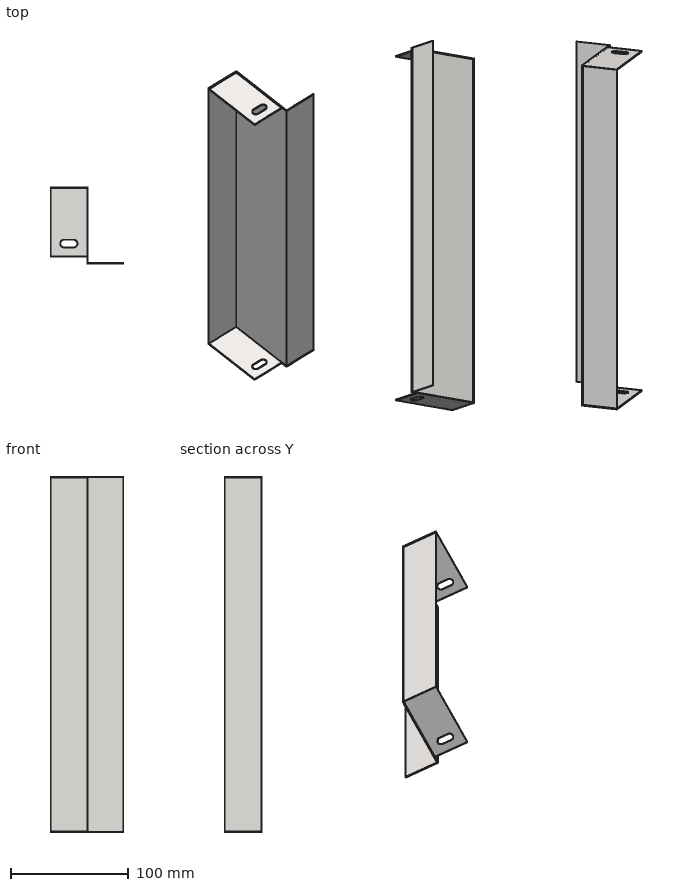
import cadquery as cq

width = 61.8
depth = 65.0
height = 301.5
sheet = 0.8

web_left = width / 2
rear_flange_width = web_left + sheet
front_flange_width = width - web_left

tab_setback = 6.0
tab_length = depth - tab_setback

slot_length = 14.5
slot_width = 6.3
slot_center_x = web_left / 2
slot_center_y = 17.2


def plate(x, y, z, size_x, size_y, size_z):
    """Flat plate with its lowest corner at (x, y, z)."""
    return cq.Workplane("XY").box(size_x, size_y, size_z, centered=False).translate((x, y, z))


def end_tab(z):
    """Horizontal tab with its lower face at z, pierced by a slot."""
    tab = plate(0, tab_setback, z, rear_flange_width, tab_length, sheet)
    slot = (
        cq.Workplane("XY", origin=(slot_center_x, slot_center_y, z))
        .slot2D(slot_length, slot_width)
        .extrude(sheet)
    )
    return tab.cut(slot)


rear_flange = plate(0, depth - sheet, 0, rear_flange_width, sheet, height)
web = plate(web_left, 0, 0, sheet, depth, height)
front_flange = plate(web_left, 0, 0, front_flange_width, sheet, height)
result = rear_flange.union(web).union(front_flange)

for tab_bottom in (0, height - sheet):
    result = result.union(end_tab(tab_bottom))